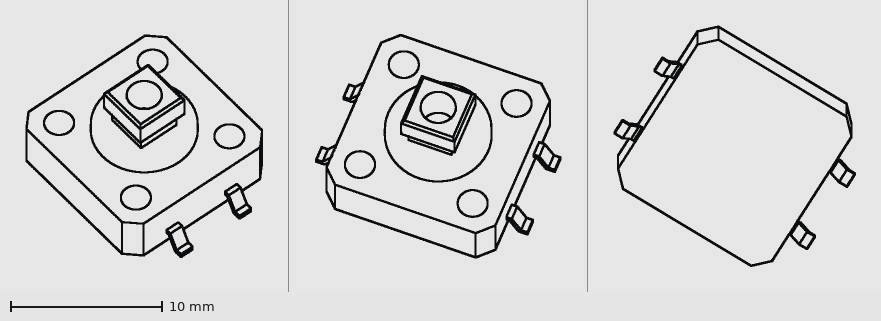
import cadquery as cq
import math


overall_length = 15.0
overall_height = 7.6

housing_side = 12.0
housing_height = 3.5
corner_chamfer = 1.0

rivet_diameter = 2.0
rivet_height = 0.51
rivet_offset = 4.0

lead_thickness = 0.3
lead_width = 1.0
lead_offset = 2.5
lead_top = 1.14
lead_slope_angle = 60.0
foot_length = 0.45

collar_diameter = 7.1
collar_height = 0.81
collar_fillet = 0.25
stem_side = 3.05
cap_side = 3.8
cap_height = 1.72
cap_chamfer_height = 0.22
cap_chamfer_inset = 0.18
bore_diameter = 2.32

button_top = overall_height - lead_thickness
collar_top = housing_height + collar_height
cap_bottom = button_top - cap_height


def make_housing():
    block = cq.Workplane("XY").box(housing_side, housing_side, housing_height, centered=(True, True, False))
    return block.edges("|Z").chamfer(corner_chamfer)


def make_rivet_heads():
    """Spherical caps, one near each corner of the housing top."""
    radius = rivet_diameter / 2
    sphere_radius = (radius**2 + rivet_height**2) / (2 * rivet_height)
    profile = (
        cq.Workplane("XZ")
        .moveTo(0, 0)
        .lineTo(radius, 0)
        .radiusArc((0, rivet_height), -sphere_radius)
        .close()
    )
    head = profile.revolve(360, (0, 0, 0), (0, 1, 0))
    heads = cq.Workplane("XY")
    for x in (-rivet_offset, rivet_offset):
        for y in (-rivet_offset, rivet_offset):
            heads = heads.add(head.translate((x, y, housing_height)))
    return heads


def make_lead():
    """One lead on the +X side, centred on Y = 0, as a bent strip of constant thickness."""
    tip = overall_length / 2
    wall = housing_side / 2
    slope = math.radians(lead_slope_angle)
    slope_run = lead_top / math.tan(slope)
    miter_shift = lead_thickness * math.tan(slope / 2)
    foot_bend = tip - foot_length
    shoulder_bend = foot_bend - slope_run
    return (
        cq.Workplane("XZ")
        .moveTo(wall, lead_top)
        .lineTo(shoulder_bend, lead_top)
        .lineTo(foot_bend, 0)
        .lineTo(tip, 0)
        .lineTo(tip, -lead_thickness)
        .lineTo(foot_bend - miter_shift, -lead_thickness)
        .lineTo(shoulder_bend - miter_shift, lead_top - lead_thickness)
        .lineTo(wall, lead_top - lead_thickness)
        .close()
        .extrude(lead_width / 2, both=True)
    )


def make_leads():
    """Two leads on each of the +X and -X sides."""
    right_lead = make_lead()
    leads = cq.Workplane("XY")
    for lead in (right_lead, right_lead.mirror("YZ")):
        for y in (-lead_offset, lead_offset):
            leads = leads.add(lead.translate((0, y, 0)))
    return leads


def make_button():
    """Round collar carrying a square stem and a wider, chamfered square cap."""
    collar = (
        cq.Workplane("XY", origin=(0, 0, housing_height))
        .circle(collar_diameter / 2)
        .extrude(collar_height)
        .faces(">Z")
        .edges()
        .fillet(collar_fillet)
    )
    stem = (
        cq.Workplane("XY", origin=(0, 0, collar_top))
        .rect(stem_side, stem_side)
        .extrude(cap_bottom - collar_top)
    )
    cap = (
        cq.Workplane("XY", origin=(0, 0, cap_bottom))
        .rect(cap_side, cap_side)
        .extrude(cap_height)
        .faces(">Z")
        .edges()
        .chamfer(cap_chamfer_height, cap_chamfer_inset)
    )
    bore = (
        cq.Workplane("XY", origin=(0, 0, collar_top))
        .circle(bore_diameter / 2)
        .extrude(button_top - collar_top)
    )
    return collar.union(stem).union(cap).cut(bore)


result = make_housing().union(make_button())
for part in make_rivet_heads().vals() + make_leads().vals():
    result = result.union(cq.Workplane(part))